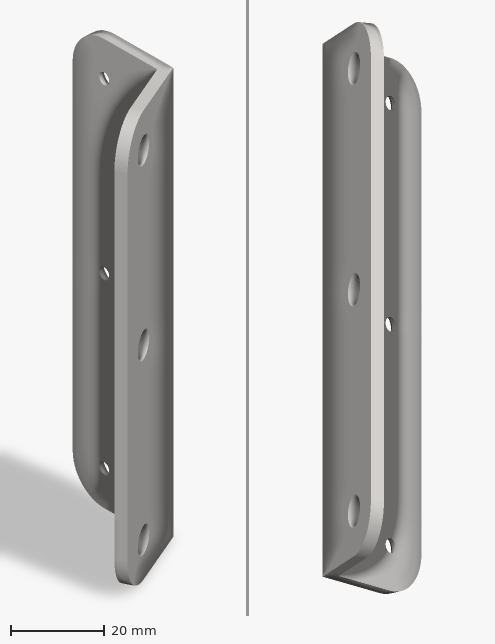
import cadquery as cq
import math

HEIGHT = 118.0
THICKNESS = 3.0
LEG_LENGTH = 28.645
BEND_ANGLE = 62.57
CORNER_RADIUS = 10.0
HOLE_DIAMETER = 3.2
HOLE_EDGE_OFFSET = 10.0
HOLES_PER_LEG = 3
COUNTERSINK_DIAMETER = 7.2
COUNTERSINK_ANGLE = 90.0

MITRE_SETBACK = THICKNESS * math.tan(math.radians(BEND_ANGLE / 2))
HOLE_PITCH = (HEIGHT - 2 * HOLE_EDGE_OFFSET) / (HOLES_PER_LEG - 1)


def make_flat_leg():
    """Leg lying along -X with its outer face on Y = 0 and the outer bend edge on the Z axis."""
    leg = (
        cq.Workplane("XY")
        .workplane(offset=-HEIGHT / 2)
        .polyline([
            (0, 0),
            (-LEG_LENGTH, 0),
            (-LEG_LENGTH, -THICKNESS),
            (-MITRE_SETBACK, -THICKNESS),
        ])
        .close()
        .extrude(HEIGHT)
    )
    return leg.faces("<X").edges("|Y").fillet(CORNER_RADIUS)


def drill_countersunk_holes(leg):
    """Row of through holes along the free edge, countersunk from the outer face (Y = 0)."""
    hole_x = -LEG_LENGTH + HOLE_EDGE_OFFSET
    first_z = -HEIGHT / 2 + HOLE_EDGE_OFFSET
    centres = []
    for index in range(HOLES_PER_LEG):
        centres.append((-hole_x, first_z + index * HOLE_PITCH))
    outer_face = cq.Plane(origin=(0, 0, 0), xDir=(-1, 0, 0), normal=(0, 1, 0))
    return (
        leg.copyWorkplane(cq.Workplane(outer_face))
        .pushPoints(centres)
        .cskHole(HOLE_DIAMETER, COUNTERSINK_DIAMETER, COUNTERSINK_ANGLE)
    )


def make_bent_leg(flat_leg):
    """Mirror the flat leg to the +X side and swing it down about the outer bend edge."""
    return flat_leg.mirror("YZ").rotate((0, 0, 0), (0, 0, 1), -BEND_ANGLE)


flat_leg = drill_countersunk_holes(make_flat_leg())
result = flat_leg.union(make_bent_leg(flat_leg))